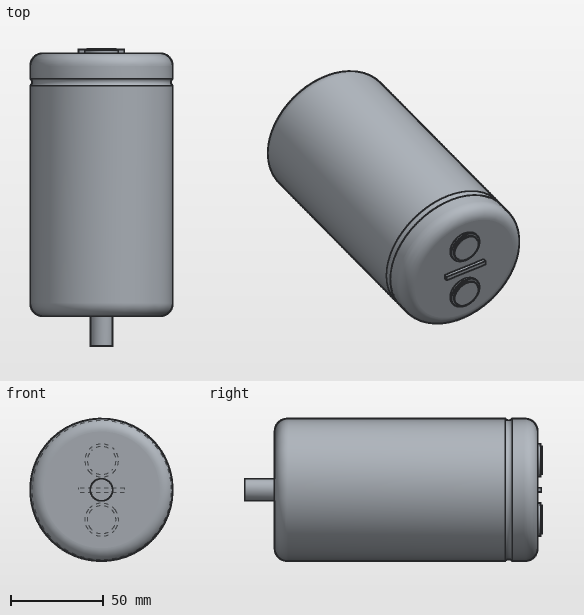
import cadquery as cq


total_length = 160.5
can_diameter = 77.0

stud_diameter = 12.0
stud_length = 16.0

terminal_base_diameter = 18.0
terminal_base_height = 1.5
terminal_top_diameter = 15.2
terminal_height = 2.4
terminal_spacing = 32.0

rib_length = 24.9
rib_thickness = 2.4
rib_height = 2.0

edge_radius = 7.0
groove_width = 3.9
groove_depth = 1.0
groove_to_end = 15.7
groove_cut_clearance = 1.6

can_radius = can_diameter / 2
stud_tip_y = -total_length / 2
can_start_y = stud_tip_y + stud_length
can_end_y = total_length / 2 - terminal_height
groove_y = can_end_y - groove_to_end


def cylinder_along_y(diameter, start_y, end_y, z=0.0):
    """Round bar between two Y positions, its axis at height z."""
    return cq.Workplane("XZ", origin=(0, start_y, z)).circle(diameter / 2).extrude(start_y - end_y)


def can():
    """Rounded can with a shallow arc-shaped bead groove near its +Y end."""
    body = cylinder_along_y(can_diameter, can_start_y, can_end_y).edges().fillet(edge_radius)
    half_width = groove_width / 2
    outside_radius = can_radius + groove_cut_clearance
    groove = (
        cq.Workplane("XY")
        .moveTo(can_radius, groove_y - half_width)
        .threePointArc(
            (can_radius - groove_depth, groove_y),
            (can_radius, groove_y + half_width),
        )
        .lineTo(outside_radius, groove_y + half_width)
        .lineTo(outside_radius, groove_y - half_width)
        .close()
        .revolve(360, (0, 0, 0), (0, 1, 0))
    )
    return body.cut(groove)


def terminal(z):
    """Two-step round terminal standing on the +Y end face."""
    base = cylinder_along_y(terminal_base_diameter, can_end_y, can_end_y + terminal_base_height, z)
    top = cylinder_along_y(terminal_top_diameter, can_end_y, can_end_y + terminal_height, z)
    return base.union(top)


def rib():
    """Straight rib along X on the +Y end face."""
    return (
        cq.Workplane("XZ", origin=(0, can_end_y, 0))
        .rect(rib_length, rib_thickness)
        .extrude(-rib_height)
    )


result = can()
result = result.union(cylinder_along_y(stud_diameter, stud_tip_y, can_start_y))
for side in (-1, 1):
    result = result.union(terminal(side * terminal_spacing / 2))
result = result.union(rib())